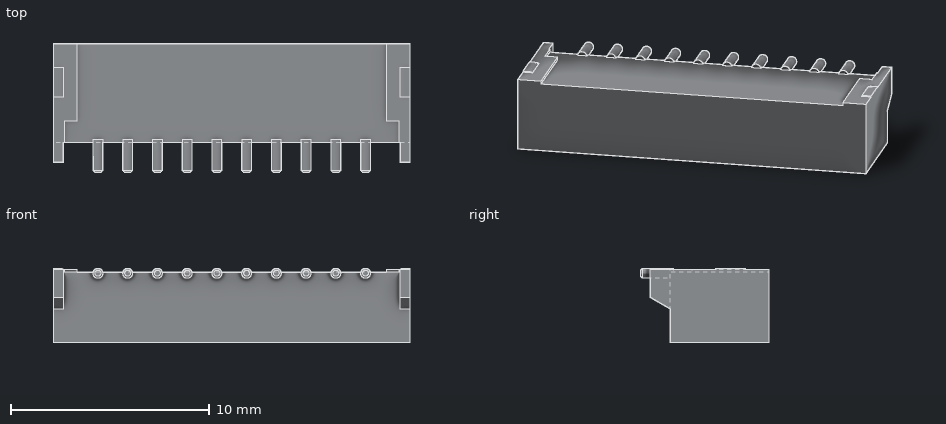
import cadquery as cq
import math

width = 18.0
depth = 5.0
body_top = 3.55

pad_top = 3.7
pad_width = 1.2
pad_narrow_width = 0.55
pad_step_setback = 1.1

ear_thickness = 0.5
ear_reach = 1.0
ear_root_z = 1.7
ear_slope_angle = 30.0

tab_top = 3.75
tab_width = 0.5
tab_length = 1.5
tab_setback = 1.2
tab_bend_radius = 0.3

pin_count = 10
pin_pitch = 1.5
pin_diameter = 0.5
pin_chamfer = 0.1
pin_reach = 1.5
pin_embed = 0.17
pin_z = tab_top - pin_diameter / 2

end_x = -width / 2


def make_body():
    return cq.Workplane("XY").box(width, depth, body_top, centered=(True, False, False))


def make_pad():
    """Stepped pad on the top face at the -X end."""
    return (
        cq.Workplane("XY")
        .workplane(offset=body_top)
        .moveTo(end_x, 0)
        .lineTo(end_x + pad_narrow_width, 0)
        .lineTo(end_x + pad_narrow_width, pad_step_setback)
        .lineTo(end_x + pad_width, pad_step_setback)
        .lineTo(end_x + pad_width, depth)
        .lineTo(end_x, depth)
        .close()
        .extrude(pad_top - body_top)
    )


def make_ear():
    """Ear at the -X end, with a sloped underside; it runs back through the housing."""
    ear_tip_z = ear_root_z + ear_reach * math.tan(math.radians(ear_slope_angle))
    return (
        cq.Workplane("YZ", origin=(end_x, 0, 0))
        .moveTo(0, ear_root_z)
        .lineTo(-ear_reach, ear_tip_z)
        .lineTo(-ear_reach, pad_top)
        .lineTo(depth, pad_top)
        .lineTo(depth, ear_root_z)
        .close()
        .extrude(ear_thickness)
    )


def make_tab():
    """Solder tab at the -X end: flat, then curving down into the pad on its inner side."""
    rise = tab_top - pad_top
    bend_run = math.sqrt(tab_bend_radius**2 - (tab_bend_radius - rise) ** 2)
    inner_x = end_x + tab_width
    back_y = depth - tab_setback
    return (
        cq.Workplane("XZ", origin=(0, back_y, 0))
        .moveTo(end_x, body_top)
        .lineTo(end_x, tab_top)
        .lineTo(inner_x - bend_run, tab_top)
        .radiusArc((inner_x, pad_top), tab_bend_radius)
        .lineTo(inner_x, body_top)
        .close()
        .extrude(tab_length)
    )


def make_pin(x):
    """Round pin along Y, chamfered at its free end."""
    return (
        cq.Workplane("XZ", origin=(x, pin_embed, pin_z))
        .circle(pin_diameter / 2)
        .extrude(pin_embed + pin_reach)
        .faces("<Y")
        .chamfer(pin_chamfer)
    )


result = make_body()

for feature in (make_pad(), make_ear(), make_tab()):
    result = result.union(feature).union(feature.mirror("YZ"))

for index in range(pin_count):
    pin_x = (index - (pin_count - 1) / 2) * pin_pitch
    result = result.union(make_pin(pin_x))

result = result.clean()